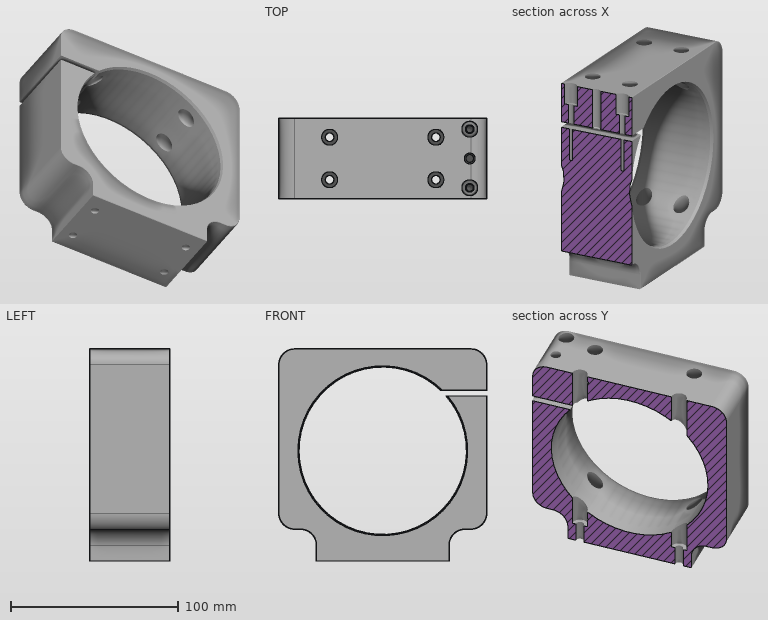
import cadquery as cq
import math

width = 124.46
thickness = 48.26
height = 127.0
foot_width = 79.5
corner_radius = 9.525
shoulder_height = 2 * corner_radius
edge_chamfer = 0.25

bore_diameter = 100.0
lead_in_depth = 0.76
lead_in_length = 1.75
bore_height = 66.04

slot_width = 3.3
slot_top = 102.1
slot_bottom = slot_top - slot_width

mount_spacing_x = 63.5
mount_spacing_y = 25.4
mount_clearance_diameter = 5.0
mount_head_diameter = 9.525
mount_seat_height = 12.7

clamp_x = 52.0
clamp_spacing_y = 35.0
clamp_clearance_diameter = 5.2
clamp_head_diameter = 9.525
clamp_head_depth = 12.7
clamp_tap_diameter = 4.2
clamp_tap_depth = 20.0
jack_diameter = 6.5
jack_tip_diameter = 4.6
drill_point_angle = math.radians(118)


def cone_length(large_diameter, small_diameter=0.0):
    """Axial length of a drill-point cone between two diameters."""
    return (large_diameter - small_diameter) / 2 / math.tan(drill_point_angle / 2)


def vertical_cylinder(x, y, diameter, bottom, top):
    """Cylinder along Z between two heights."""
    return cq.Workplane("XY", origin=(x, y, bottom)).circle(diameter / 2).extrude(top - bottom)


def drilled_hole(x, y, diameter, top, straight_bottom, tip_diameter=0.0):
    """Hole going down from top and ending in a drill cone, cut flat at tip_diameter."""
    tip = straight_bottom - cone_length(diameter, tip_diameter)
    profile = cq.Workplane("XZ", origin=(x, y, 0)).moveTo(0, top)
    profile = profile.lineTo(diameter / 2, top).lineTo(diameter / 2, straight_bottom)
    profile = profile.lineTo(tip_diameter / 2, tip)
    if tip_diameter > 0:
        profile = profile.lineTo(0, tip)
    return profile.close().revolve(360, (0, 0, 0), (0, 1, 0))


def y_slab(x_start, x_end, z_start, z_end):
    """Box through the whole thickness."""
    return cq.Workplane("XY").box(
        x_end - x_start, thickness, z_end - z_start, centered=(False, True, False)
    ).translate((x_start, 0, z_start))


def make_block():
    """Rounded clamp body that narrows to a foot through concave fillets."""
    body = y_slab(-width / 2, width / 2, shoulder_height, height)
    body = body.edges("|Y").fillet(corner_radius)
    foot = y_slab(-foot_width / 2, foot_width / 2, 0, bore_height)
    block = body.union(foot)
    margin = edge_chamfer
    inner_corners = cq.selectors.BoxSelector(
        (-foot_width / 2 - margin, -thickness, shoulder_height - margin),
        (foot_width / 2 + margin, thickness, shoulder_height + margin),
    )
    block = block.edges("|Y").edges(inner_corners).fillet(corner_radius)
    return block.faces("<Y or >Y").edges().chamfer(edge_chamfer)


def cut_bore_and_slot(block):
    """Bore with a tapered lead-in at both faces, opened to +X by the slot."""
    radius = bore_diameter / 2
    mouth_radius = radius + lead_in_depth
    face = thickness / 2
    straight_end = face - lead_in_length
    profile = cq.Workplane("XY").polyline([
        (0, -face),
        (mouth_radius, -face),
        (radius, -straight_end),
        (radius, straight_end),
        (mouth_radius, face),
        (0, face),
    ]).close()
    bore = profile.revolve(360, (0, 0, 0), (0, 1, 0)).translate((0, 0, bore_height))
    return block.cut(bore).cut(y_slab(0, width / 2, slot_bottom, slot_top))


def cut_mounting_holes(block):
    """Four vertical screw holes with head passages open to the top."""
    for x in (-mount_spacing_x / 2, mount_spacing_x / 2):
        for y in (-mount_spacing_y / 2, mount_spacing_y / 2):
            block = block.cut(vertical_cylinder(x, y, mount_clearance_diameter, 0, height))
            block = block.cut(vertical_cylinder(x, y, mount_head_diameter, mount_seat_height, height))
    return block


def cut_clamp_holes(block):
    """Counterbored clearance above the slot and a blind tap hole below it, twice."""
    head_seat = height - clamp_head_depth
    tap_bottom = slot_bottom - clamp_tap_depth
    for y in (-clamp_spacing_y / 2, clamp_spacing_y / 2):
        block = block.cut(vertical_cylinder(clamp_x, y, clamp_head_diameter, head_seat, height))
        block = block.cut(vertical_cylinder(clamp_x, y, clamp_clearance_diameter, slot_top, head_seat))
        block = block.cut(drilled_hole(clamp_x, y, clamp_tap_diameter, slot_bottom, tap_bottom))
    return block


def cut_jack_hole(block):
    """Jack screw hole whose drill cone just breaks into the slot."""
    straight_bottom = slot_top + cone_length(jack_diameter, jack_tip_diameter)
    return block.cut(drilled_hole(clamp_x, 0, jack_diameter, height, straight_bottom, jack_tip_diameter))


result = make_block()
result = cut_bore_and_slot(result)
result = cut_mounting_holes(result)
result = cut_clamp_holes(result)
result = cut_jack_hole(result)